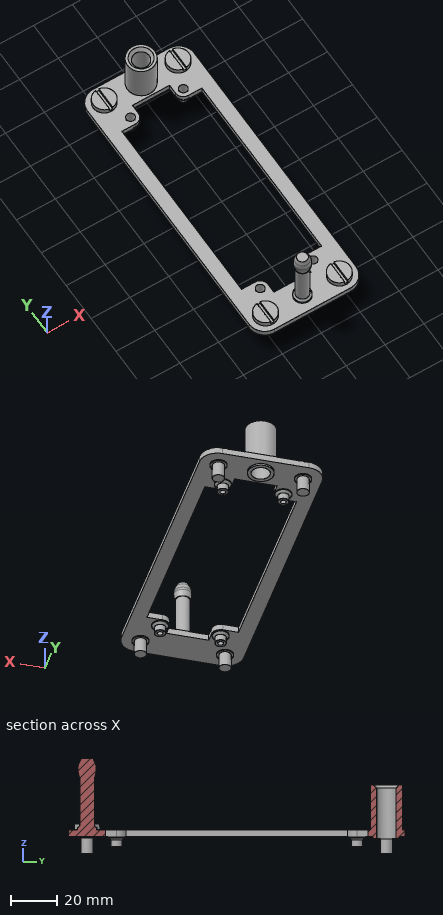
import cadquery as cq

plate_length = 146.0
plate_width = 55.0
plate_thickness = 3.0
corner_radius = 8.0

window_width = 41.0
window_length = 96.0
notch_width = 19.0
notch_length = 113.6
lug_corner_radius = 4.1

row_inset = 8.2
row_y = plate_length / 2 - row_inset
screw_x = 19.0

screw_head_diameter = 11.2
screw_head_height = 2.6
screw_shank_diameter = 5.4
screw_drop = 7.5
slot_width = 1.6
slot_depth = 1.3
screw_collar_diameter = 7.5
screw_collar_height = 0.5

standoff_x = notch_width / 2 + lug_corner_radius
standoff_y = window_length / 2 + lug_corner_radius
standoff_diameter = 5.0
standoff_drop = 4.4
standoff_edge_chamfer = 0.1
standoff_collar_diameter = 7.5
standoff_collar_height = 0.5
standoff_collar_cone_drop = 1.3
standoff_bore_diameter = 2.5
standoff_mouth_diameter = 4.2

socket_diameter = 14.0
socket_height = 19.5
socket_bore_diameter = 8.3
socket_mouth_diameter = 11.2
socket_mouth_depth = 1.6
socket_rim_diameter = 11.7
socket_rim_drop = 0.9

pin_height = 31.0
pin_shaft_diameter = 6.4
pin_flange_diameter = 8.5
pin_flange_height = 0.9
pin_flange_cone_top = 1.8
pin_head_diameter = 8.0
pin_neck_diameter = 6.9
pin_nose_diameter = 7.0
pin_tip_diameter = 5.3
pin_head_bulge = 0.1
pin_tip_length = 1.9
pin_nose_length = 2.2
pin_head_band_length = 1.2
pin_head_taper_length = 3.0
pin_nose_height = pin_height - pin_tip_length
pin_head_high = pin_nose_height - pin_nose_length
pin_head_low = pin_head_high - pin_head_band_length
pin_neck_height = pin_head_low - pin_head_taper_length


def cylinder(diameter, bottom, top):
    return cq.Workplane("XY").workplane(offset=bottom).circle(diameter / 2).extrude(top - bottom)


def cone(bottom_diameter, top_diameter, bottom, top):
    return (
        cq.Workplane("XY")
        .workplane(offset=bottom)
        .circle(bottom_diameter / 2)
        .workplane(offset=top - bottom)
        .circle(top_diameter / 2)
        .loft(ruled=True)
    )


def make_plate():
    plate = (
        cq.Workplane("XY")
        .rect(plate_width, plate_length)
        .extrude(plate_thickness)
        .edges("|Z")
        .fillet(corner_radius)
    )
    margin = lug_corner_radius / 2
    lug_corners = cq.selectors.BoxSelector(
        (-notch_width / 2 - margin, -window_length / 2 - margin, -margin),
        (notch_width / 2 + margin, window_length / 2 + margin, plate_thickness + margin),
    )
    window = (
        cq.Workplane("XY")
        .rect(window_width, window_length)
        .extrude(plate_thickness)
        .union(cq.Workplane("XY").rect(notch_width, notch_length).extrude(plate_thickness))
        .edges("|Z")
        .edges(lug_corners)
        .fillet(lug_corner_radius)
    )
    return plate.cut(window)


def make_screw():
    head_top = plate_thickness + screw_head_height
    slot = (
        cq.Workplane("XY")
        .workplane(offset=head_top - slot_depth)
        .rect(slot_width, screw_head_diameter)
        .extrude(slot_depth)
    )
    return (
        cylinder(screw_head_diameter, plate_thickness, head_top)
        .cut(slot)
        .union(cylinder(screw_shank_diameter, -screw_drop, plate_thickness))
        .union(cylinder(screw_collar_diameter, -screw_collar_height, 0))
    )


def make_standoff():
    tube = cylinder(standoff_diameter, -standoff_drop, 0)
    tube = tube.faces("<Z").chamfer(standoff_edge_chamfer)
    flare = cone(
        standoff_diameter, standoff_collar_diameter, -standoff_collar_cone_drop, -standoff_collar_height
    )
    return tube.union(flare).union(cylinder(standoff_collar_diameter, -standoff_collar_height, 0))


def make_standoff_bore():
    return cone(standoff_bore_diameter, standoff_mouth_diameter, -standoff_drop, plate_thickness)


def make_socket():
    return cylinder(socket_diameter, plate_thickness, plate_thickness + socket_height).union(
        cylinder(socket_rim_diameter, -socket_rim_drop, plate_thickness)
    )


def make_socket_bore():
    top = plate_thickness + socket_height
    mouth = cone(socket_bore_diameter, socket_mouth_diameter, top - socket_mouth_depth, top)
    return cylinder(socket_bore_diameter, -socket_rim_drop, top).union(mouth)


def make_pin():
    profile = (
        cq.Workplane("XZ", origin=(0, 0, plate_thickness))
        .lineTo(pin_flange_diameter / 2, 0)
        .lineTo(pin_flange_diameter / 2, pin_flange_height)
        .lineTo(pin_shaft_diameter / 2, pin_flange_cone_top)
        .lineTo(pin_shaft_diameter / 2, pin_neck_height)
        .lineTo(pin_neck_diameter / 2, pin_neck_height)
        .sagittaArc((pin_head_diameter / 2, pin_head_low), -pin_head_bulge)
        .lineTo(pin_head_diameter / 2, pin_head_high)
        .sagittaArc((pin_nose_diameter / 2, pin_nose_height), -pin_head_bulge)
        .lineTo(pin_tip_diameter / 2, pin_height)
        .lineTo(0, pin_height)
        .close()
    )
    return profile.revolve(360, (0, 0, 0), (0, 1, 0))


def corner_points(x, y):
    return [(-x, -y), (x, -y), (-x, y), (x, y)]


result = make_plate()
for x, y in corner_points(screw_x, row_y):
    result = result.union(make_screw().translate((x, y, 0)))
for x, y in corner_points(standoff_x, standoff_y):
    result = result.union(make_standoff().translate((x, y, 0)))
    result = result.cut(make_standoff_bore().translate((x, y, 0)))
result = result.union(make_socket().translate((0, row_y, 0)))
result = result.cut(make_socket_bore().translate((0, row_y, 0)))
result = result.union(make_pin().translate((0, -row_y, 0)))